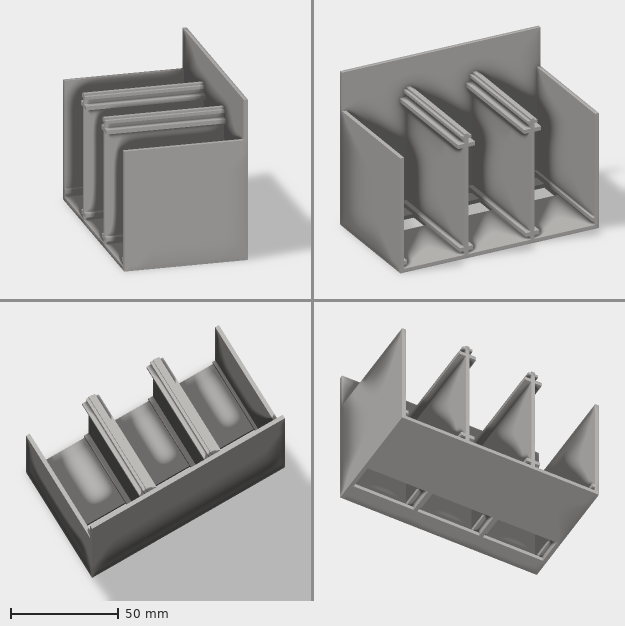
import cadquery as cq

width = 105.0
depth = 60.0
back_height = 79.5
wall = 2.0
bay_count = 3
bay_pitch = width / bay_count
side_height = 59.5
inner_depth = depth - wall

rail_bottom = 4.0
rail_thickness = 2.0
side_rail_reach = 1.5
divider_rail_width = 7.0

divider_height = 64.5
flange_width = 9.0
flange_thickness = 2.0
bead_width = 5.0
bead_bottom = 62.0
bead_thickness = 1.5

window_front = 37.0
window_back = 50.5


def block(x_min, x_max, y_min, y_max, z_min, z_max):
    """Box given by its limits along each axis."""
    size = (x_max - x_min, y_max - y_min, z_max - z_min)
    return cq.Workplane("XY").box(*size, centered=False).translate((x_min, y_min, z_min))


def bar(x_center, bar_width, z_min, z_max):
    """Bar from the front to the back panel, centred on x_center."""
    half_width = bar_width / 2
    return block(x_center - half_width, x_center + half_width, 0, inner_depth, z_min, z_max)


def make_shell():
    """Floor, back panel and the two side walls with their rails."""
    half_width = width / 2
    floor = block(-half_width, half_width, 0, depth, 0, wall)
    back = block(-half_width, half_width, inner_depth, depth, 0, back_height)
    shell = floor.union(back)
    side_center = half_width - wall / 2
    rail_center = half_width - wall - side_rail_reach / 2
    for side in (-1, 1):
        side_wall = bar(side * side_center, wall, 0, side_height)
        rail = bar(side * rail_center, side_rail_reach, rail_bottom, rail_bottom + rail_thickness)
        shell = shell.union(side_wall.union(rail))
    return shell


def make_divider(x_center):
    """Upright web with a low rail, a flange level with the side walls and a bead above it."""
    web = bar(x_center, wall, 0, divider_height)
    rail = bar(x_center, divider_rail_width, rail_bottom, rail_bottom + rail_thickness)
    flange = bar(x_center, flange_width, side_height - flange_thickness, side_height)
    bead = bar(x_center, bead_width, bead_bottom, bead_bottom + bead_thickness)
    return web.union(rail).union(flange).union(bead)


def make_window(x_min, x_max):
    """Cutter for a floor window spanning a bay from wall to wall."""
    return block(x_min, x_max, window_front, window_back, 0, wall)


divider_centers = [-width / 2 + i * bay_pitch for i in range(1, bay_count)]

result = make_shell()
for divider_center in divider_centers:
    result = result.union(make_divider(divider_center))

bay_starts = [-width / 2 + wall] + [x + wall / 2 for x in divider_centers]
bay_ends = [x - wall / 2 for x in divider_centers] + [width / 2 - wall]
for bay_start, bay_end in zip(bay_starts, bay_ends):
    result = result.cut(make_window(bay_start, bay_end))